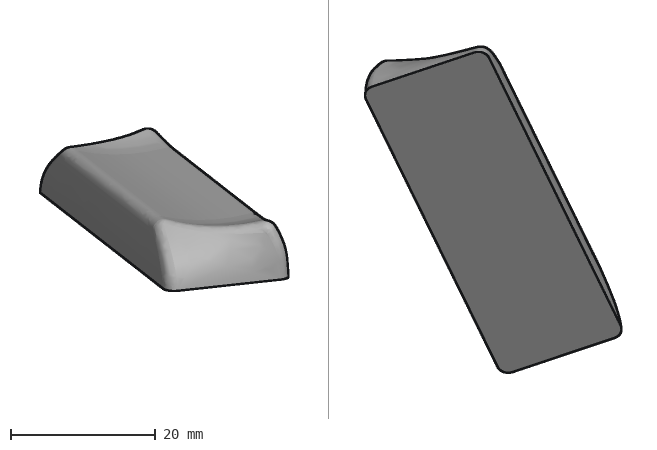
import cadquery as cq

length = 51.7
width = 18.4

middle_length = 33.2

wall_levels = [
    (0.0, length / 2, length / 2, width / 2, -width / 2),
    (3.1, 25.8, 24.5, 9.0, -9.05),
    (6.2, 25.5, 21.1, 8.1, -8.6),
    (10.35, 24.5, 14.35, 5.6, -7.75),
]

dish_front = (-9.8, 9.25)
dish_valley = (0.0, 6.75)
dish_back = (9.8, 7.75)
dish_end_radius = 22.75
dish_end_angle = 30.0
cutter_height = 15.5

edge_radius = 1.6

edge_tolerance = 0.005


def wall_outline(height, back_half, front_half, back_y, front_y):
    """Sharp trapezoid that bounds the part at one height."""
    corners = [
        (-front_half, front_y),
        (front_half, front_y),
        (back_half, back_y),
        (-back_half, back_y),
        (-front_half, front_y),
    ]
    return cq.Sketch().polygon(corners).moved(cq.Location(cq.Vector(0, 0, height)))


def make_body():
    """Smooth leaning walls, taller than the finished part."""
    outlines = [wall_outline(*level) for level in wall_levels]
    return cq.Workplane("XY").placeSketch(*outlines).loft()


def dish_profile(x):
    """Cross-section of the material above the dish."""
    return (
        cq.Workplane("YZ", origin=(x, 0, 0))
        .moveTo(*dish_front)
        .threePointArc(dish_valley, dish_back)
        .lineTo(dish_back[0], cutter_height)
        .lineTo(dish_front[0], cutter_height)
        .close()
    )


def make_dish_cutter():
    """Straight trough that curves upwards at both ends."""
    half = middle_length / 2
    pivot_z = dish_valley[1] + dish_end_radius
    middle = dish_profile(-half).extrude(middle_length)
    end = dish_profile(half).revolve(dish_end_angle, (0.5, pivot_z, 0), (0, pivot_z, 0))
    return middle.union(end).union(end.mirror("YZ"))


def is_seam_in_dish(edge):
    """True where the straight trough meets an upturned end."""
    return edge.BoundingBox().xlen < edge_tolerance and edge.Center().z > edge_tolerance


def round_edges(body):
    """Round the four upright corners and the whole rim of the dish together."""
    above_base = body.edges("not <Z")
    return above_base.filter(lambda edge: not is_seam_in_dish(edge)).fillet(edge_radius)


sharp_body = make_body().cut(make_dish_cutter())
result = round_edges(sharp_body)